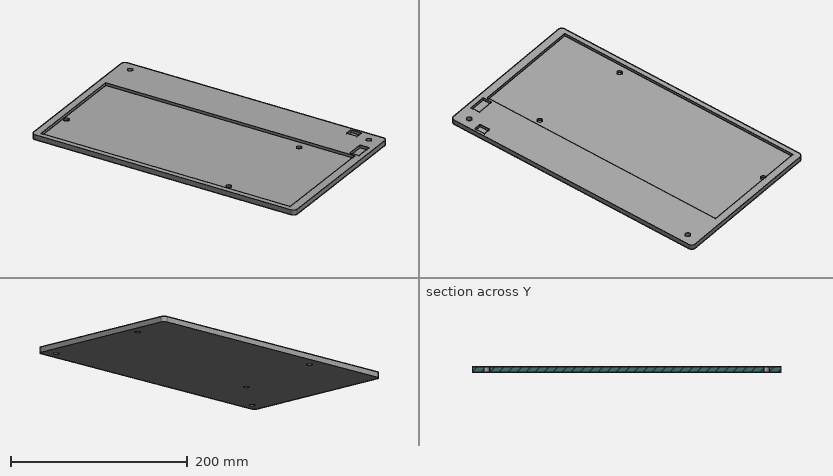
import cadquery as cq

plate_length = 350.0
plate_width = 200.0
plate_thickness = 6.5
corner_radius = 5.0

pocket_depth = 3.5

recess_length = 330.8
recess_width = 140.3
recess_left_margin = 9.0
recess_front_margin = 6.3
recess_center = (
    -plate_length / 2 + recess_left_margin + recess_length / 2,
    -plate_width / 2 + recess_front_margin + recess_width / 2,
)

back_pocket_size = (14.0, 9.5)
back_pocket_center = (136.0, 92.0)

side_pocket_size = (12.0, 22.0)
side_pocket_center = (162.5, 60.5)

hole_diameter = 6.4
corner_hole_side_margin = 16.5
corner_hole_back_margin = 12.5
corner_hole_x = plate_length / 2 - corner_hole_side_margin
corner_hole_y = plate_width / 2 - corner_hole_back_margin
corner_hole_centers = [(-corner_hole_x, corner_hole_y), (corner_hole_x, corner_hole_y)]
recess_hole_centers = [(-162.0, -45.0), (77.0, -83.5), (97.0, 36.5)]


def make_plate():
    """Flat plate with rounded vertical corners."""
    plate = cq.Workplane("XY").rect(plate_length, plate_width).extrude(plate_thickness)
    return plate.edges("|Z").fillet(corner_radius)


def cut_pocket(body, size, center):
    """Cut a sharp-cornered rectangular pocket down from the top face."""
    floor = cq.Workplane("XY", origin=(0, 0, plate_thickness - pocket_depth))
    pocket = floor.center(*center).rect(*size).extrude(pocket_depth)
    return body.cut(pocket)


def cut_through_holes(body, centers):
    """Cut round holes through the full plate thickness."""
    holes = cq.Workplane("XY").pushPoints(centers).circle(hole_diameter / 2).extrude(plate_thickness)
    return body.cut(holes)


result = make_plate()
result = cut_pocket(result, (recess_length, recess_width), recess_center)
result = cut_pocket(result, back_pocket_size, back_pocket_center)
result = cut_pocket(result, side_pocket_size, side_pocket_center)
result = cut_through_holes(result, corner_hole_centers + recess_hole_centers)